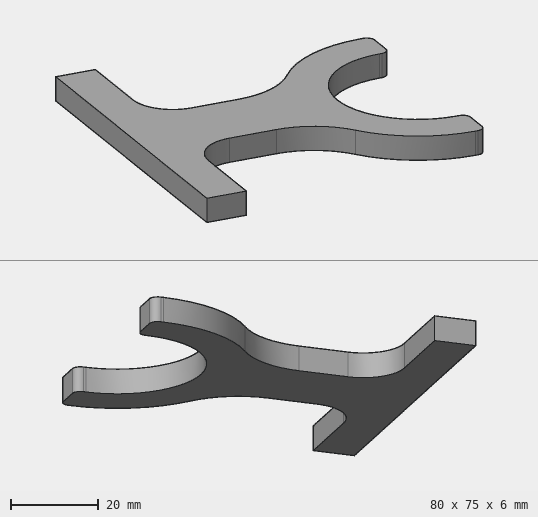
import cadquery as cq
import math

thickness = 6.0
base_length = 80.0
base_width = 10.0
total_depth = 75.0
stem_width = 20.0
base_fillet = 10.0
neck_fillet = 20.0
tip_fillet = 2.0
bore_radius = 20.4
fork_wall = 10.0
tip_height = 2.6

fork_radius = bore_radius + fork_wall
bore_y = total_depth - tip_height
half_stem = stem_width / 2

neck_x = half_stem + neck_fillet
neck_y = bore_y - math.sqrt((fork_radius + neck_fillet) ** 2 - neck_x ** 2)


def make_base():
    return cq.Workplane("XY").box(base_length, base_width, thickness, centered=(True, False, False))


def make_stem():
    return cq.Workplane("XY").box(stem_width, bore_y, thickness, centered=(True, False, False))


def make_round_bottomed(radius):
    """Lower half disc about the bore centre, carried straight up to the fork tips."""
    return (
        cq.Workplane("XY")
        .moveTo(-radius, total_depth)
        .lineTo(-radius, bore_y)
        .threePointArc((0, bore_y - radius), (radius, bore_y))
        .lineTo(radius, total_depth)
        .close()
        .extrude(thickness)
    )


def make_neck_web(side):
    """Concave web between the stem and the fork; side is -1 or 1."""
    reach = fork_radius / (fork_radius + neck_fillet)
    touch_x = neck_x * reach
    touch_y = bore_y + (neck_y - bore_y) * reach
    middle = (math.atan2(touch_y - neck_y, touch_x - neck_x) + math.pi) / 2
    arc_x = neck_x + neck_fillet * math.cos(middle)
    arc_y = neck_y + neck_fillet * math.sin(middle)
    return (
        cq.Workplane("XY")
        .moveTo(0, neck_y)
        .lineTo(side * half_stem, neck_y)
        .threePointArc((side * arc_x, arc_y), (side * touch_x, touch_y))
        .lineTo(0, bore_y)
        .close()
        .extrude(thickness)
    )


def corner_edges(x, y):
    """Selector for the vertical edges at (x, y) and (-x, y)."""
    margin = 0.1
    boxes = [
        cq.selectors.BoxSelector(
            (side * x - margin, y - margin, -margin),
            (side * x + margin, y + margin, thickness + margin),
        )
        for side in (-1, 1)
    ]
    return boxes[0] + boxes[1]


body = make_base().union(make_stem()).union(make_round_bottomed(fork_radius))
for side in (-1, 1):
    body = body.union(make_neck_web(side))
body = body.cut(make_round_bottomed(bore_radius))

body = body.edges("|Z").edges(corner_edges(half_stem, base_width)).fillet(base_fillet)
for prong_x in (bore_radius, fork_radius):
    body = body.edges("|Z").edges(corner_edges(prong_x, total_depth)).fillet(tip_fillet)

result = body